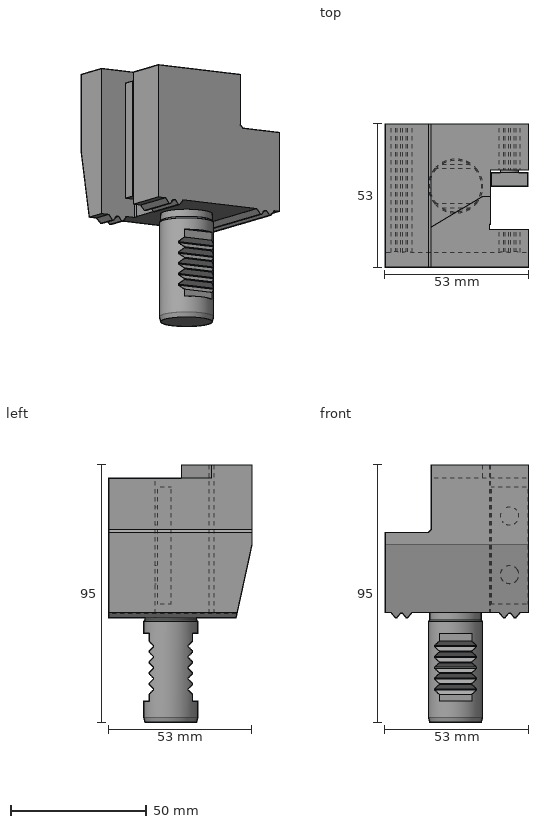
import cadquery as cq
import math


total_height = 95.0
head_size = 53.0
head_left = -26.0
head_right = head_left + head_size
head_front = -30.0
head_back = head_front + head_size
head_bottom = 40.5
ledge_width = 17.0
ledge_top = 70.1
ledge_chamfer = 1.0
wall_x = head_left + ledge_width

slope_top = 65.6
slope_angle = math.radians(12.3)

top_step_depth = 4.8
top_step_front = head_front + 14.9
top_step_back = head_front + 26.1
top_step_slant_length = 18.9

slot_left = head_left + 38.95
slot_front = head_front + 14.1
slot_back = head_front + 35.9
relief_depth = 0.4
relief_width = 1.8

bar_side_gap = 0.3
bar_back_gap = 0.95
bar_thickness = 5.0
bar_end_gap = 3.2
screw_diameter = 6.7
screw_count = 2

tooth_pitch = 4.0
tooth_pair_offset = 19.95
tooth_height = 1.9
tooth_tip_z = head_bottom - tooth_height
tooth_root_half = 1.9
tooth_tip_half = 0.3
tooth_valley_half = 0.4
tooth_valley_depth = 0.3

shank_diameter = 20.0
neck_diameter = 19.1
neck_bottom = 37.8
neck_bevel_height = 0.7
end_bevel_height = 1.8

flat_width = 12.0
flat_bottom = 7.8
flat_top = 32.9
groove_count = 5
groove_pitch = 4.0
groove_lowest = 12.2
groove_depth = 1.6
groove_root_half = 0.2
groove_mouth_half = groove_root_half + groove_depth


def box_between(x_range, y_range, z_range):
    """Box given by its lower and upper limits along each axis."""
    size = [high - low for low, high in (x_range, y_range, z_range)]
    corner = (x_range[0], y_range[0], z_range[0])
    return cq.Workplane("XY").box(*size, centered=False).translate(corner)


def extrude_along_y(points):
    """XZ outline extruded over the full depth of the head."""
    outline = cq.Workplane("XZ", origin=(0, head_back, 0)).polyline(points).close()
    return outline.extrude(head_size)


def tooth_pair(center_x):
    """Two trapezoidal teeth with a shallow flat valley between them."""
    valley_z = head_bottom - tooth_valley_depth
    tip_center = tooth_pitch / 2
    right_half = [
        (tooth_valley_half, valley_z),
        (tip_center - tooth_tip_half, tooth_tip_z),
        (tip_center + tooth_tip_half, tooth_tip_z),
        (tip_center + tooth_root_half, head_bottom),
    ]
    left_half = [(-x, z) for x, z in reversed(right_half)]
    return extrude_along_y([(center_x + x, z) for x, z in left_half + right_half])


def head_body():
    """Stepped block with its locating teeth and the sloped lower front."""
    body = extrude_along_y([
        (head_left, head_bottom),
        (head_right, head_bottom),
        (head_right, total_height),
        (wall_x, total_height),
        (wall_x, ledge_top + ledge_chamfer),
        (wall_x - ledge_chamfer, ledge_top),
        (head_left, ledge_top),
    ])
    for side in (-1, 1):
        body = body.union(tooth_pair(side * tooth_pair_offset))

    slope_inset = (slope_top - tooth_tip_z) * math.tan(slope_angle)
    slope_cut = (
        cq.Workplane("YZ", origin=(head_left, 0, 0))
        .polyline([
            (head_front, slope_top),
            (head_front + slope_inset, tooth_tip_z),
            (head_front, tooth_tip_z),
        ])
        .close()
        .extrude(head_size)
    )
    return body.cut(slope_cut)


def top_step():
    """Space above the lowered rear part of the top face."""
    return (
        cq.Workplane("XY", origin=(0, 0, total_height))
        .polyline([
            (wall_x, top_step_front),
            (wall_x + top_step_slant_length, top_step_back),
            (head_right, top_step_back),
            (head_right, head_back),
            (wall_x, head_back),
        ])
        .close()
        .extrude(-top_step_depth)
    )


def blade_slot():
    """Through slot with a small relief in its front inner corner."""
    z_range = (tooth_tip_z, total_height)
    slot = box_between((slot_left, head_right), (slot_front, slot_back), z_range)
    relief = box_between(
        (slot_left - relief_depth, slot_left),
        (slot_front, slot_front + relief_width),
        z_range,
    )
    return slot.union(relief)


def clamping_bar():
    """Upright bar joined to the rear slot wall by evenly spaced screws."""
    bar_back = slot_back - bar_back_gap
    bar_bottom = head_bottom + bar_end_gap
    bar_top = total_height - top_step_depth - bar_end_gap
    bar = box_between(
        (slot_left + bar_side_gap, head_right - bar_side_gap),
        (bar_back - bar_thickness, bar_back),
        (bar_bottom, bar_top),
    )
    screw_x = (slot_left + head_right) / 2
    screw_spacing = (bar_top - bar_bottom) / screw_count
    for index in range(screw_count):
        screw_z = bar_bottom + (index + 0.5) * screw_spacing
        screw = (
            cq.Workplane("XZ", origin=(screw_x, slot_back, screw_z))
            .circle(screw_diameter / 2)
            .extrude(bar_back_gap)
        )
        bar = bar.union(screw)
    return bar


def shank_body():
    """Round shank with a beveled end and a narrower neck below the head."""
    shank_radius = shank_diameter / 2
    neck_radius = neck_diameter / 2
    return (
        cq.Workplane("XZ")
        .polyline([
            (0, 0),
            (neck_radius, 0),
            (shank_radius, end_bevel_height),
            (shank_radius, neck_bottom - neck_bevel_height),
            (neck_radius, neck_bottom),
            (neck_radius, head_bottom),
            (0, head_bottom),
        ])
        .close()
        .revolve(360, (0, 0, 0), (0, 1, 0))
    )


def serration_cut():
    """Flat with V grooves on the back of the shank."""
    shank_radius = shank_diameter / 2
    flat_y = math.sqrt(shank_radius**2 - (flat_width / 2) ** 2)
    root_y = flat_y - groove_depth
    points = [(shank_radius, flat_bottom), (flat_y, flat_bottom)]
    for index in range(groove_count):
        center_z = groove_lowest + index * groove_pitch
        points += [
            (flat_y, center_z - groove_mouth_half),
            (root_y, center_z - groove_root_half),
            (root_y, center_z + groove_root_half),
            (flat_y, center_z + groove_mouth_half),
        ]
    points += [(flat_y, flat_top), (shank_radius, flat_top)]
    return cq.Workplane("YZ").polyline(points).close().extrude(shank_radius, both=True)


head = head_body().cut(top_step()).cut(blade_slot()).union(clamping_bar())

back_serration = serration_cut()
front_serration = back_serration.mirror("XZ")
shank = shank_body().cut(back_serration).cut(front_serration)

result = head.union(shank)